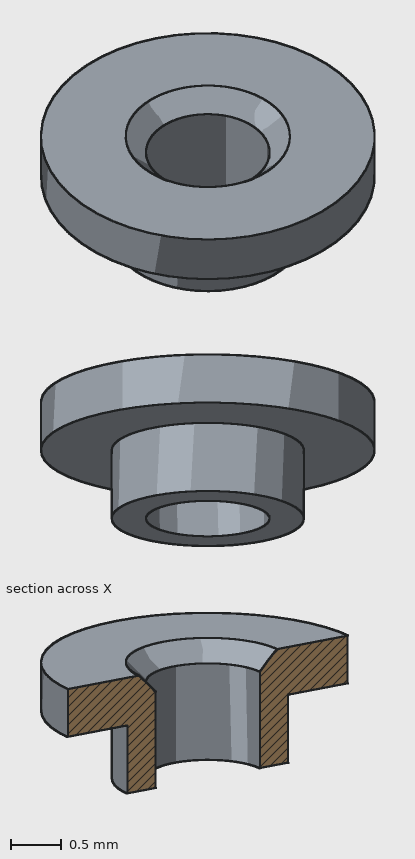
import cadquery as cq

flange_diameter = 3.3
flange_thickness = 0.498
sleeve_diameter = 1.9
total_height = 1.2
bore_diameter = 1.22
bore_chamfer = 0.2

sleeve_length = total_height - flange_thickness

sleeve = cq.Workplane("XY").circle(sleeve_diameter / 2).extrude(sleeve_length)
flange = (
    cq.Workplane("XY")
    .workplane(offset=sleeve_length)
    .circle(flange_diameter / 2)
    .extrude(flange_thickness)
)
body = sleeve.union(flange)

bored_body = body.faces(">Z").workplane().hole(bore_diameter)
bore_mouth = cq.selectors.RadiusNthSelector(0)
result = bored_body.faces(">Z").edges(bore_mouth).chamfer(bore_chamfer)